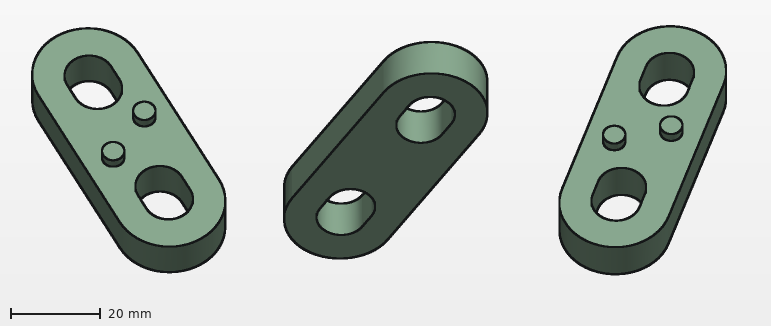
import cadquery as cq

plate_length = 64.0
plate_width = 25.0
plate_thickness = 10.0

slot_length = 15.0
slot_width = 11.0
slot_spacing = 34.0
slot_count = 2

pin_diameter = 5.0
pin_height = 2.5
pin_circle_diameter = 13.0
first_pin_angle = 120.0
pin_count = 2


def make_plate():
    return cq.Workplane("XY").slot2D(plate_length, plate_width).extrude(plate_thickness)


def make_slots():
    return (
        cq.Workplane("XY")
        .rarray(slot_spacing, 0.65, slot_count, 1)
        .slot2D(slot_length, slot_width)
        .extrude(plate_thickness)
    )


def make_pins():
    return (
        cq.Workplane("XY")
        .polarArray(pin_circle_diameter / 2, first_pin_angle, 360, pin_count)
        .circle(pin_diameter / 2)
        .extrude(plate_thickness + pin_height)
    )


result = make_plate().cut(make_slots()).union(make_pins())